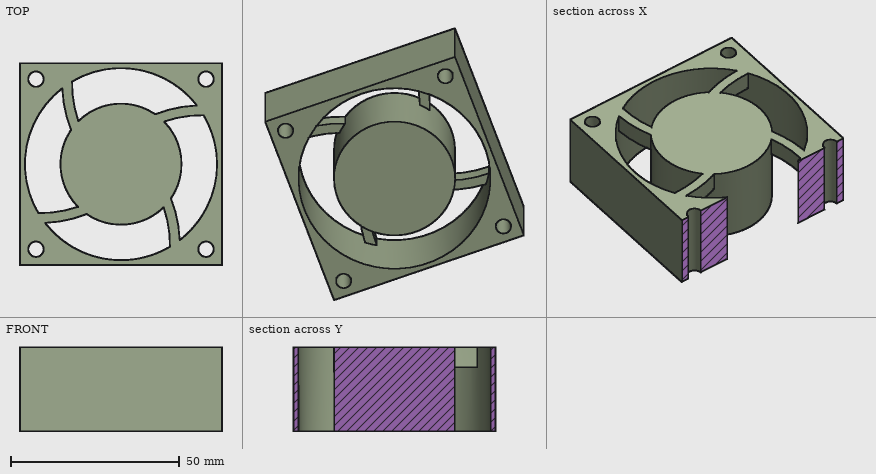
import cadquery as cq
import math

FRAME_SIDE = 60.0
FRAME_HEIGHT = 25.0
BORE_DIAMETER = 57.0

HUB_DIAMETER = 36.0

HOLE_SPACING = 50.5
HOLE_DIAMETER = 4.5

SPOKE_COUNT = 4
SPOKE_WIDTH = 3.0
SPOKE_HEIGHT = 6.0
SPOKE_RADIUS = 36.0
SPOKE_ARC_CENTER = (24.0, -20.0)
SPOKE_INNER_BEARING = 115.0
SPOKE_OUTER_BEARING = 85.0


def spoke_point(radius, bearing):
    """Point at a radius and bearing about the centre of the spoke arc."""
    angle = math.radians(bearing)
    center_x, center_y = SPOKE_ARC_CENTER
    return (center_x + radius * math.cos(angle), center_y + radius * math.sin(angle))


def make_frame():
    """Square block with a through bore and four mounting holes."""
    block = cq.Workplane("XY").rect(FRAME_SIDE, FRAME_SIDE).circle(BORE_DIAMETER / 2).extrude(FRAME_HEIGHT)
    holes = (
        cq.Workplane("XY")
        .rect(HOLE_SPACING, HOLE_SPACING, forConstruction=True)
        .vertices()
        .circle(HOLE_DIAMETER / 2)
        .extrude(FRAME_HEIGHT)
    )
    return block.cut(holes)


def make_hub():
    """Solid cylinder in the middle of the bore."""
    return cq.Workplane("XY").circle(HUB_DIAMETER / 2).extrude(FRAME_HEIGHT)


def make_spoke():
    """One curved spoke bounded by two concentric arcs."""
    inside = SPOKE_RADIUS - SPOKE_WIDTH / 2
    outside = SPOKE_RADIUS + SPOKE_WIDTH / 2
    middle_bearing = (SPOKE_INNER_BEARING + SPOKE_OUTER_BEARING) / 2
    return (
        cq.Workplane("XY", origin=(0, 0, FRAME_HEIGHT - SPOKE_HEIGHT))
        .moveTo(*spoke_point(inside, SPOKE_INNER_BEARING))
        .threePointArc(spoke_point(inside, middle_bearing), spoke_point(inside, SPOKE_OUTER_BEARING))
        .lineTo(*spoke_point(outside, SPOKE_OUTER_BEARING))
        .threePointArc(spoke_point(outside, middle_bearing), spoke_point(outside, SPOKE_INNER_BEARING))
        .close()
        .extrude(SPOKE_HEIGHT)
    )


result = make_frame().union(make_hub())
spoke = make_spoke()
for index in range(SPOKE_COUNT):
    turn = index * 360.0 / SPOKE_COUNT
    result = result.union(spoke.rotate((0, 0, 0), (0, 0, 1), turn))
result = result.clean()